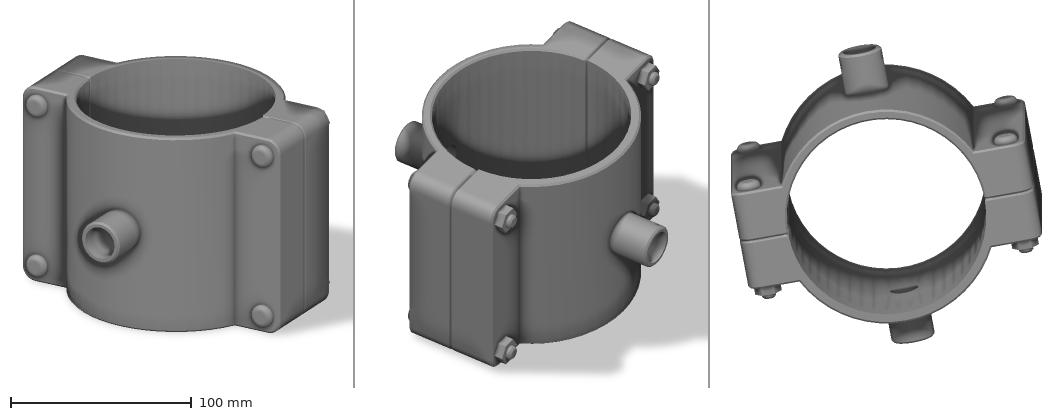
import cadquery as cq
import math

CLAMP_WIDTH = 165.0
CLAMP_HEIGHT = 116.0
BORE_RADIUS = 55.1
RING_RADIUS = 60.6
FLANGE_THICKNESS = 27.5
FLANGE_CORNER_RADIUS = 8.0
EDGE_CHAMFER = 1.08

PIPE_END_Y = 83.0
PIPE_DIAMETER = 24.2
PIPE_BORE_DIAMETER = 18.6
PORT_DIAMETER = 16.0

BOLT_INSET = 10.3
BOLT_X = CLAMP_WIDTH / 2 - BOLT_INSET
BOLT_Z = CLAMP_HEIGHT / 2 - BOLT_INSET
HEAD_DIAMETER = 13.0
HEAD_HEIGHT = 4.0
HEAD_ROUND = 3.0
NUT_ACROSS_FLATS = 13.0
NUT_HEIGHT = 5.0
STUD_DIAMETER = 8.0
STUD_REACH = 8.0

FRONT = -1
BACK = 1


def z_cylinder(radius):
    """Cylinder on the Z axis, as tall as the clamp."""
    return cq.Workplane("XY", origin=(0, 0, -CLAMP_HEIGHT / 2)).circle(radius).extrude(CLAMP_HEIGHT)


def y_cylinder(diameter, start_y, end_y, x=0, z=0):
    """Cylinder along Y between two Y positions (start_y < end_y)."""
    return cq.Workplane("XZ", origin=(x, end_y, z)).circle(diameter / 2).extrude(end_y - start_y)


def ring_half(side):
    """Half of the ring; only the front half has its bore chamfered at both ends."""
    half_space = cq.Workplane("XY").box(2 * RING_RADIUS, RING_RADIUS, CLAMP_HEIGHT)
    half_space = half_space.translate((0, side * RING_RADIUS / 2, 0))
    ring = z_cylinder(RING_RADIUS).cut(z_cylinder(BORE_RADIUS)).intersect(half_space)
    if side == FRONT:
        return ring.edges().chamfer(EDGE_CHAMFER)
    outer_arcs = ring.edges("%CIRCLE").edges(cq.selectors.RadiusNthSelector(-1))
    return ring.edges("%LINE").add(outer_arcs).chamfer(EDGE_CHAMFER)


def flange_half(side):
    """Rounded flange plates of one half, left and right of the ring."""
    plate = cq.Workplane("XY").box(CLAMP_WIDTH, FLANGE_THICKNESS, CLAMP_HEIGHT)
    plate = plate.edges("|Y").fillet(FLANGE_CORNER_RADIUS)
    plate = plate.faces("<Y or >Y").chamfer(EDGE_CHAMFER)
    plate = plate.translate((0, side * FLANGE_THICKNESS / 2, 0))
    mid_wall_radius = (BORE_RADIUS + RING_RADIUS) / 2
    return plate.cut(z_cylinder(mid_wall_radius))


def bolt_head(x, z):
    """Round bolt head on the front flange face."""
    head = y_cylinder(HEAD_DIAMETER, -FLANGE_THICKNESS - HEAD_HEIGHT, -FLANGE_THICKNESS, x, z)
    return head.faces("<Y").edges().fillet(HEAD_ROUND)


def nut_and_stud(x, z):
    """Hexagonal nut on the back flange face with the stud tip standing out of it."""
    stud_tip_y = FLANGE_THICKNESS + STUD_REACH
    stud = y_cylinder(STUD_DIAMETER, FLANGE_THICKNESS, stud_tip_y, x, z)
    stud = stud.faces(">Y").chamfer(EDGE_CHAMFER)
    nut = cq.Workplane("XZ", origin=(x, FLANGE_THICKNESS + NUT_HEIGHT, z))
    nut = nut.polygon(6, NUT_ACROSS_FLATS / math.cos(math.pi / 6)).extrude(NUT_HEIGHT)
    return nut.union(stud)


def make_clamp():
    """Both halves joined with their bolts, with a port through the wall behind each pipe."""
    clamp = ring_half(FRONT)
    clamp = clamp.union(ring_half(BACK))
    for side in (FRONT, BACK):
        clamp = clamp.union(flange_half(side))
    for x in (-BOLT_X, BOLT_X):
        for z in (-BOLT_Z, BOLT_Z):
            clamp = clamp.union(bolt_head(x, z))
            clamp = clamp.union(nut_and_stud(x, z))
    return clamp.cut(y_cylinder(PORT_DIAMETER, -RING_RADIUS, RING_RADIUS))


def make_pipe(side):
    """Branch pipe whose inner end is cut to the curve of the ring."""
    pipe = y_cylinder(PIPE_DIAMETER, 0, PIPE_END_Y)
    pipe = pipe.faces(">Y").chamfer(EDGE_CHAMFER)
    pipe = pipe.cut(z_cylinder(RING_RADIUS))
    pipe = pipe.cut(y_cylinder(PIPE_BORE_DIAMETER, 0, PIPE_END_Y))
    if side == FRONT:
        return pipe.mirror("XZ")
    return pipe


clamp = make_clamp()
pipes = [make_pipe(side) for side in (FRONT, BACK)]

result = cq.Compound.makeCompound([clamp.val(), *[pipe.val() for pipe in pipes]])